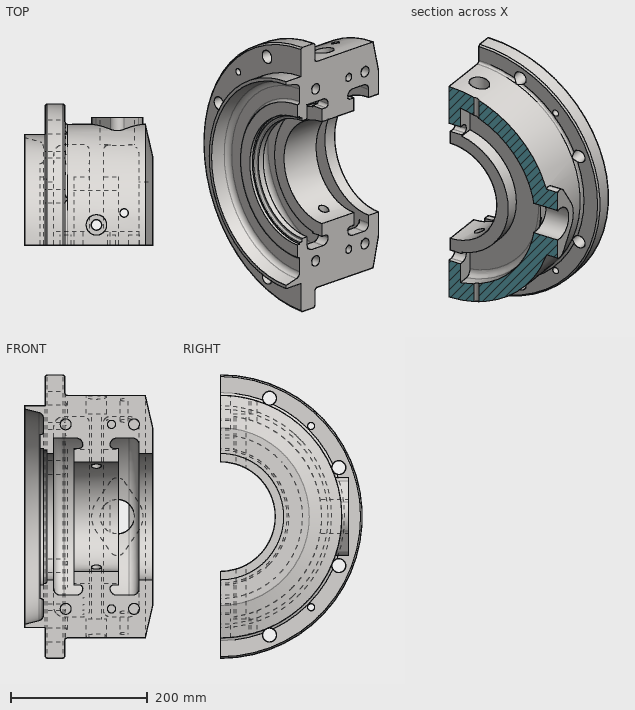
import cadquery as cq
import math


LENGTH = 187.5
FLANGE_FRONT = 30.0
FLANGE_BACK = 58.75
TAPER_START = 176.5
HUB_FACE = 22.5
RELIEF_FLOOR = 27.5
SEAL_STEP = 27.5
SEAL_END = 32.5
BLOCK_CENTRE = 105.0

WEB_HALF = 10.0
HOOK_HALF = 20.0
BLOCK_HALF = 32.5
CHAMBER_WALL = 62.5

FLANGE_R = 207.5
BODY_R = 177.5
TAPER_END_R = 130.0
SPIGOT_R = 162.5
CONE_MOUTH_R = 157.5
HUB_R = 120.0
SEAL_MOUTH_R = 100.0
SEAL_R = 97.5
END_BORE_R = 92.5
BEARING_R = 80.0
BLOCK_R = 100.0
CHAMBER_R = 148.0

FLANGE_CHAMFER = 2.5
FLANGE_FILLET = 4.0
CONE_ANGLE = math.radians(14.0)
RELIEF_OUTER_FILLET = 9.0
RELIEF_INNER_FILLET = 4.0
SEAL_FILLET = 2.4
CHAMBER_OUTER_FILLET = 15.0
CHAMBER_WEB_FILLET = 10.0

SLOT_DEPTH = 20.0
SLOT_ROOF = 115.0
SLOT_OUTER_FILLET = 10.0
SLOT_INNER_FILLET = SLOT_ROOF - BLOCK_R - SLOT_OUTER_FILLET

PAD_X = 135.5
PAD_FACE = 187.5
PAD_R = 37.5
PAD_TIP_R = 12.0
PAD_TIP_OFFSET = 45.0
PORT_DIAMETER = 50.0

FLANGE_HOLE_CIRCLE_R = 187.5
FLANGE_BOLT_DIAMETER = 20.0
FLANGE_BOLT_ANGLES = (22.5, 67.5, 112.5, 157.5)
FLANGE_PIN_DIAMETER = 10.0
FLANGE_PIN_ANGLES = (45.0, 135.0)
SPLIT_HOLE_Z = 135.0
SPLIT_HOLE_DEPTH = 15.0
SPLIT_HOLES = ((60.0, 16.0), (160.0, 16.0), (127.0, 12.0))
OIL_HOLE_Y = 30.0
OIL_HOLE_DIAMETER = 15.0
OIL_COUNTERBORE_DIAMETER = 30.0
OIL_COUNTERBORE_FLOOR = 150.0
VENT_X = 145.5
VENT_Y = 47.5
VENT_DIAMETER = 12.0


def axial_section():
    """Workplane whose local x is X and whose local y is the radius, drawn on the +Z side."""
    return cq.Workplane("XZ")


def half_turn(profile):
    """Revolve a closed axial section through the +Y half."""
    return profile.revolve(180, (0, 0, 0), (-1, 0, 0))


def half_disc(start, end, radius):
    return half_turn(axial_section().moveTo(start, 0).rect(end - start, radius, centered=False))


def body_blank():
    profile = (
        axial_section()
        .lineTo(0, SPIGOT_R)
        .lineTo(FLANGE_FRONT, SPIGOT_R)
        .lineTo(FLANGE_FRONT, FLANGE_R - FLANGE_CHAMFER)
        .lineTo(FLANGE_FRONT + FLANGE_CHAMFER, FLANGE_R)
        .lineTo(FLANGE_BACK - FLANGE_CHAMFER, FLANGE_R)
        .lineTo(FLANGE_BACK, FLANGE_R - FLANGE_CHAMFER)
        .lineTo(FLANGE_BACK, BODY_R + FLANGE_FILLET)
        .radiusArc((FLANGE_BACK + FLANGE_FILLET, BODY_R), -FLANGE_FILLET)
        .lineTo(TAPER_START, BODY_R)
        .lineTo(LENGTH, TAPER_END_R)
        .lineTo(LENGTH, 0)
        .close()
    )
    return half_turn(profile)


def spigot_mouth():
    """Conical mouth with a deeper, rounded relief around the hub."""
    arc_x = RELIEF_FLOOR - RELIEF_OUTER_FILLET
    arc_r = CONE_MOUTH_R - arc_x * math.tan(CONE_ANGLE) - RELIEF_OUTER_FILLET / math.cos(CONE_ANGLE)
    cone_end = (
        arc_x + RELIEF_OUTER_FILLET * math.sin(CONE_ANGLE),
        arc_r + RELIEF_OUTER_FILLET * math.cos(CONE_ANGLE),
    )
    profile = (
        axial_section()
        .lineTo(0, CONE_MOUTH_R)
        .lineTo(*cone_end)
        .radiusArc((RELIEF_FLOOR, arc_r), RELIEF_OUTER_FILLET)
        .lineTo(RELIEF_FLOOR, HUB_R + RELIEF_INNER_FILLET)
        .radiusArc((RELIEF_FLOOR - RELIEF_INNER_FILLET, HUB_R), RELIEF_INNER_FILLET)
        .lineTo(HUB_FACE, HUB_R)
        .lineTo(HUB_FACE, 0)
        .close()
    )
    return half_turn(profile)


def seal_seat():
    profile = (
        axial_section()
        .lineTo(0, SEAL_MOUTH_R)
        .lineTo(SEAL_STEP, SEAL_MOUTH_R)
        .lineTo(SEAL_STEP, SEAL_R)
        .lineTo(SEAL_END - SEAL_FILLET, SEAL_R)
        .radiusArc((SEAL_END, SEAL_R - SEAL_FILLET), SEAL_FILLET)
        .lineTo(SEAL_END, 0)
        .close()
    )
    return half_turn(profile)


def throat(side):
    """Ring-shaped opening beside the bearing block; side is -1 or 1 along X."""
    ends = sorted(BLOCK_CENTRE + side * offset for offset in (BLOCK_HALF, CHAMBER_WALL))
    return half_disc(*ends, BLOCK_R)


def chamber(side):
    """Ring-shaped oil chamber that stops short of the split face."""

    def at(offset, radius):
        return (BLOCK_CENTRE + side * offset, radius)

    profile = (
        axial_section()
        .moveTo(*at(WEB_HALF, BLOCK_R))
        .lineTo(*at(WEB_HALF, CHAMBER_R - CHAMBER_WEB_FILLET))
        .radiusArc(at(WEB_HALF + CHAMBER_WEB_FILLET, CHAMBER_R), side * CHAMBER_WEB_FILLET)
        .lineTo(*at(CHAMBER_WALL - CHAMBER_OUTER_FILLET, CHAMBER_R))
        .radiusArc(at(CHAMBER_WALL, CHAMBER_R - CHAMBER_OUTER_FILLET), side * CHAMBER_OUTER_FILLET)
        .lineTo(*at(CHAMBER_WALL, BLOCK_R))
        .close()
    )
    behind_slots = cq.Workplane("XY").box(LENGTH, BODY_R, 2 * BODY_R, centered=(False, False, True))
    return half_turn(profile).intersect(behind_slots.translate((0, SLOT_DEPTH, 0)))


def split_slot(side, end):
    """Hooked slot from the split face into a chamber; end is -1 or 1 along Z."""

    def at(offset, height):
        return (BLOCK_CENTRE + side * offset, end * height)

    turn = side * end
    arch = (
        axial_section()
        .moveTo(*at(BLOCK_HALF, END_BORE_R))
        .lineTo(*at(BLOCK_HALF, BLOCK_R))
        .lineTo(*at(HOOK_HALF + SLOT_INNER_FILLET, BLOCK_R))
        .radiusArc(at(HOOK_HALF, BLOCK_R + SLOT_INNER_FILLET), turn * SLOT_INNER_FILLET)
        .radiusArc(at(HOOK_HALF + SLOT_OUTER_FILLET, SLOT_ROOF), turn * SLOT_OUTER_FILLET)
    )
    if side < 0 < end:
        arch = arch.lineTo(*at(CHAMBER_WALL, SLOT_ROOF))
    else:
        arch = arch.lineTo(*at(CHAMBER_WALL - SLOT_OUTER_FILLET, SLOT_ROOF)).radiusArc(
            at(CHAMBER_WALL, SLOT_ROOF - SLOT_OUTER_FILLET), turn * SLOT_OUTER_FILLET
        )
    return arch.lineTo(*at(CHAMBER_WALL, END_BORE_R)).close().extrude(-SLOT_DEPTH)


def port_pad():
    """Diamond-shaped pad: a large middle circle and two tip circles joined by tangents."""
    lean = math.asin((PAD_R - PAD_TIP_R) / PAD_TIP_OFFSET)
    side_x = PAD_R * math.cos(lean)
    side_z = PAD_R * math.sin(lean)
    tip_x = PAD_TIP_R * math.cos(lean)
    tip_z = PAD_TIP_OFFSET + PAD_TIP_R * math.sin(lean)
    tip_top = PAD_TIP_OFFSET + PAD_TIP_R
    pad = (
        cq.Workplane("XZ", origin=(PAD_X, PAD_FACE, 0))
        .moveTo(side_x, side_z)
        .lineTo(tip_x, tip_z)
        .threePointArc((0, tip_top), (-tip_x, tip_z))
        .lineTo(-side_x, side_z)
        .threePointArc((-PAD_R, 0), (-side_x, -side_z))
        .lineTo(-tip_x, -tip_z)
        .threePointArc((0, -tip_top), (tip_x, -tip_z))
        .lineTo(side_x, -side_z)
        .threePointArc((PAD_R, 0), (side_x, side_z))
        .close()
        .extrude(PAD_FACE)
    )
    return pad.cut(half_disc(0, LENGTH, (BODY_R + CHAMBER_R) / 2))


def port():
    """Round port that ends on the chamber's cylindrical roof."""
    drill = cq.Workplane("XZ", origin=(PAD_X, PAD_FACE, 0)).circle(PORT_DIAMETER / 2).extrude(PAD_FACE)
    return drill.cut(half_disc(0, LENGTH, CHAMBER_R))


def flange_hole(angle, diameter):
    """Axial hole through the flange, at an angle in degrees from +Z towards +Y."""
    turn = math.radians(angle)
    centre = (FLANGE_HOLE_CIRCLE_R * math.sin(turn), FLANGE_HOLE_CIRCLE_R * math.cos(turn))
    drill = cq.Workplane("YZ", origin=(FLANGE_FRONT, 0, 0)).center(*centre).circle(diameter / 2)
    return drill.extrude(2 * (FLANGE_BACK - FLANGE_FRONT))


def split_hole(x, diameter, end):
    drill = axial_section().center(x, end * SPLIT_HOLE_Z).circle(diameter / 2)
    return drill.extrude(-SPLIT_HOLE_DEPTH)


def vertical_hole(x, y, diameter, start, end):
    """Hole along Z from the height start to the outside; end is -1 or 1 along Z."""
    drill = cq.Workplane("XY", origin=(x, y, end * start)).circle(diameter / 2)
    return drill.extrude(end * (FLANGE_R - start))


housing = body_blank().cut(spigot_mouth()).cut(seal_seat())
housing = housing.cut(half_disc(0, LENGTH, BEARING_R))
housing = housing.cut(half_disc(0, BLOCK_CENTRE - CHAMBER_WALL, END_BORE_R))
housing = housing.cut(half_disc(BLOCK_CENTRE + CHAMBER_WALL, LENGTH, END_BORE_R))
housing = housing.union(port_pad()).cut(port())

for side in (-1, 1):
    housing = housing.cut(throat(side)).cut(chamber(side))
    for end in (-1, 1):
        housing = housing.cut(split_slot(side, end))

for angle in FLANGE_BOLT_ANGLES:
    housing = housing.cut(flange_hole(angle, FLANGE_BOLT_DIAMETER))
for angle in FLANGE_PIN_ANGLES:
    housing = housing.cut(flange_hole(angle, FLANGE_PIN_DIAMETER))

for end in (-1, 1):
    for x, diameter in SPLIT_HOLES:
        housing = housing.cut(split_hole(x, diameter, end))
    housing = housing.cut(vertical_hole(BLOCK_CENTRE, OIL_HOLE_Y, OIL_HOLE_DIAMETER, 0, end))
    housing = housing.cut(
        vertical_hole(BLOCK_CENTRE, OIL_HOLE_Y, OIL_COUNTERBORE_DIAMETER, OIL_COUNTERBORE_FLOOR, end)
    )
    housing = housing.cut(vertical_hole(VENT_X, VENT_Y, VENT_DIAMETER, BLOCK_R, end))

result = cq.Compound.makeCompound([housing.val()])